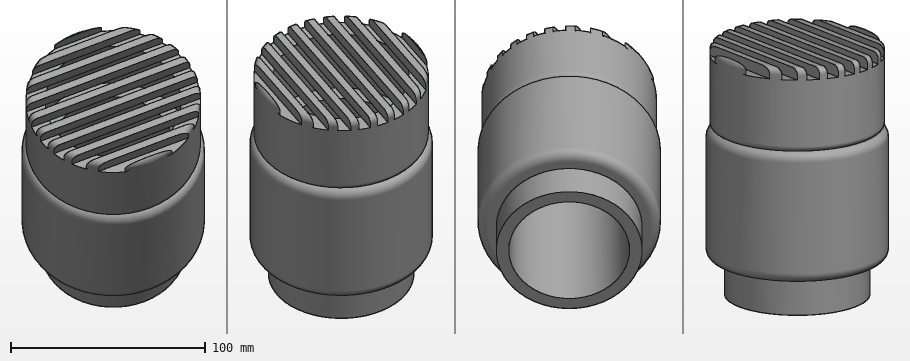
import cadquery as cq

total_height = 135.0
neck_height = 20.0
joint_height = 90.0

barrel_radius = 47.0
barrel_fillet = 5.0
neck_radius = 37.5
bore_radius = 31.0

cap_radius = 45.0
cap_wall = 5.0
cap_bottom_fillet = barrel_fillet - (barrel_radius - cap_radius)
cap_top_fillet = 3.5
cavity_radius = cap_radius - cap_wall
cavity_fillet = 5.0

slot_count = 9
slot_pitch = 10.0
slot_width = 6.0
slot_depth = 6.0


def disc(radius, bottom, top):
    """Upright cylinder on the Z axis between two heights."""
    return cq.Workplane("XY").workplane(offset=bottom).circle(radius).extrude(top - bottom)


def make_base():
    """Barrel with both rims rounded, on its neck, with one bore through both."""
    barrel = disc(barrel_radius, neck_height, joint_height).faces("<Z or >Z").edges().fillet(barrel_fillet)
    neck = disc(neck_radius, 0, neck_height)
    bore = disc(bore_radius, 0, joint_height)
    return barrel.union(neck).cut(bore)


def make_cap():
    """Rounded cup whose roof is cut by slots exactly down to the cavity."""
    roof_height = total_height - slot_depth
    shell = disc(cap_radius, joint_height, total_height)
    shell = shell.faces(">Z").edges().fillet(cap_top_fillet)
    shell = shell.faces("<Z").edges().fillet(cap_bottom_fillet)
    cavity = disc(cavity_radius, joint_height, roof_height).faces(">Z").edges().fillet(cavity_fillet)
    cap = shell.cut(cavity)

    slot_length = 2 * cap_radius
    for index in range(slot_count):
        slot_x = (index - (slot_count - 1) / 2) * slot_pitch
        slot = (
            cq.Workplane("XY")
            .workplane(offset=roof_height)
            .center(slot_x, 0)
            .rect(slot_width, slot_length)
            .extrude(slot_depth)
        )
        cap = cap.cut(slot)
    return cap


base = make_base()
cap = make_cap()

result = cq.Compound.makeCompound([base.val(), cap.val()])